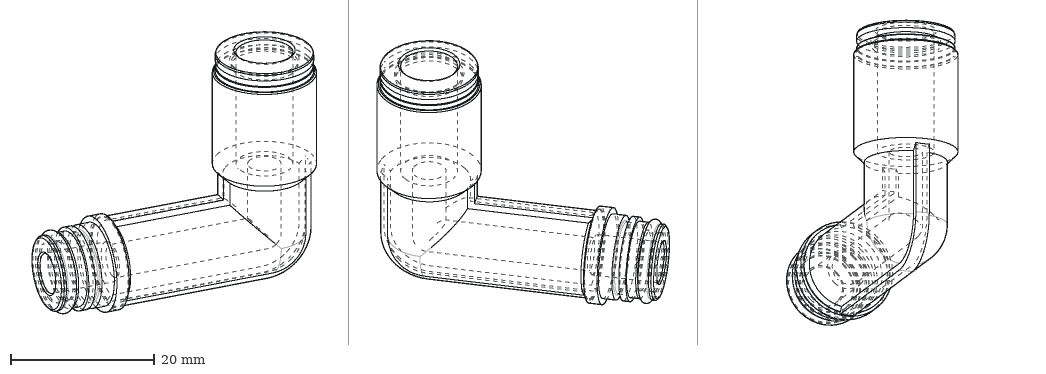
import cadquery as cq
import math


SOCKET_TOP = 28.2
STEM_TIP = 33.3

PIPE_R = 5.82
PIPE_BORE_R = 4.7 / 2

RIB_R = 6.7
RIB_WIDTH = 2.0

BODY_R = 14.6 / 2
BODY_BOTTOM = 10.6
BODY_TOP = 25.0
BODY_TOP_CHAMFER = 0.2
SHOULDER_BOTTOM = BODY_BOTTOM - (BODY_R - PIPE_R)

COLLAR_R = 13.8 / 2
COLLAR_TOP = 25.8
COLLAR_CHAMFER = 0.1

NECK_R = 9.34 / 2
NECK_FLARE = 0.2
NECK_FLARE_HEIGHT = 0.35
BUTTON_R = COLLAR_R
BUTTON_RIM_R = 13.6 / 2
BUTTON_BOTTOM = 26.7
BUTTON_SIDE_TOP = 27.55
BUTTON_RIM_Z = 27.8

SOCKET_R = 7.94 / 2
SOCKET_MOUTH_R = 8.6 / 2
SOCKET_FLOOR = BODY_BOTTOM

FLANGE_R = 13.7 / 2
FLANGE_START = 23.7
FLANGE_END = 25.6
CONE_RISE = 0.6
CONE_LENGTH = 0.5
CONE_START = 23.05

LAND_R = 11.95 / 2
LAND_END = 27.5
RELIEF_R = 10.15 / 2
RELIEF_FILLET = 0.2
RING_START = 28.5
RING_END = 29.5
TIP_R = 10.8 / 2
TIP_CHAMFER = 0.3

O_RING_WIDTH = 1.24
O_RING_R = 11.9 / 2
O_RING_CENTER = 31.75
O_RING_GROOVE_R = 8.6 / 2
O_RING_GROOVE_START = 30.8
O_RING_GROOVE_END = 32.65

STEM_BORE_R = 5.7 / 2
STEM_MOUTH_CHAMFER = 0.25
STEM_BORE_END = FLANGE_START


def turned(profile):
    """Solid of revolution about Z from (radius, height) points; the axis closes the profile."""
    points = [(0, profile[0][1])] + profile + [(0, profile[-1][1])]
    outline = cq.Workplane("XZ").polyline(points).close()
    return outline.revolve(360, (0, 0, 0), (0, 1, 0))


def along_stem(solid):
    """Turn a solid built along +Z so that it points along -Y."""
    return solid.rotate((0, 0, 0), (1, 0, 0), 90)


def make_pipes():
    riser = cq.Workplane("XY").circle(PIPE_R).extrude(BODY_BOTTOM)
    run = along_stem(cq.Workplane("XY").circle(PIPE_R).extrude(FLANGE_END))
    return riser.union(run).union(cq.Workplane("XY").sphere(PIPE_R))


def make_rib():
    """Flat L-shaped plate in the YZ plane with a rounded outer corner."""
    arc_mid = RIB_R * math.sqrt(0.5)
    outline = (
        cq.Workplane("YZ")
        .moveTo(RIB_R, BODY_BOTTOM)
        .lineTo(RIB_R, 0)
        .threePointArc((arc_mid, -arc_mid), (0, -RIB_R))
        .lineTo(-FLANGE_END, -RIB_R)
        .lineTo(-FLANGE_END, RIB_R)
        .lineTo(-RIB_R, RIB_R)
        .lineTo(-RIB_R, BODY_BOTTOM)
        .close()
    )
    return outline.extrude(RIB_WIDTH / 2, both=True)


def make_socket_body():
    """Socket body, collar and release button."""
    return turned([
        (PIPE_R, SHOULDER_BOTTOM),
        (BODY_R, BODY_BOTTOM),
        (BODY_R, BODY_TOP - BODY_TOP_CHAMFER),
        (BODY_R - BODY_TOP_CHAMFER, BODY_TOP),
        (COLLAR_R, BODY_TOP),
        (COLLAR_R, COLLAR_TOP - COLLAR_CHAMFER),
        (COLLAR_R - COLLAR_CHAMFER, COLLAR_TOP),
        (NECK_R, COLLAR_TOP),
        (NECK_R, BUTTON_BOTTOM - NECK_FLARE_HEIGHT),
        (NECK_R + NECK_FLARE, BUTTON_BOTTOM),
        (BUTTON_R, BUTTON_BOTTOM),
        (BUTTON_R, BUTTON_SIDE_TOP),
        (BUTTON_RIM_R, BUTTON_RIM_Z),
        (SOCKET_MOUTH_R, SOCKET_TOP),
    ])


def make_relief_groove():
    """Ring to cut from the stem, with rounded corners at the groove floor."""
    height = RING_START - LAND_END
    ring = cq.Workplane("XY").workplane(offset=LAND_END).circle(FLANGE_R).extrude(height)
    core = cq.Workplane("XY").workplane(offset=LAND_END).circle(RELIEF_R).extrude(height)
    floor_edges = cq.selectors.RadiusNthSelector(0)
    return ring.cut(core).edges(floor_edges).fillet(RELIEF_FILLET)


def make_o_ring():
    """O-ring seated on the groove floor: a round-nosed section turned about the stem axis."""
    half = O_RING_WIDTH / 2
    section = (
        cq.Workplane("XZ")
        .moveTo(O_RING_GROOVE_R, O_RING_CENTER - half)
        .lineTo(O_RING_R - half, O_RING_CENTER - half)
        .threePointArc((O_RING_R, O_RING_CENTER), (O_RING_R - half, O_RING_CENTER + half))
        .lineTo(O_RING_GROOVE_R, O_RING_CENTER + half)
        .close()
    )
    return section.revolve(360, (0, 0, 0), (0, 1, 0))


def make_stem():
    body = turned([
        (PIPE_R, CONE_START),
        (PIPE_R + CONE_RISE, CONE_START + CONE_LENGTH),
        (PIPE_R + CONE_RISE, FLANGE_START),
        (FLANGE_R, FLANGE_START),
        (FLANGE_R, FLANGE_END),
        (LAND_R, FLANGE_END),
        (LAND_R, RING_END),
        (TIP_R, RING_END),
        (TIP_R, O_RING_GROOVE_START),
        (O_RING_GROOVE_R, O_RING_GROOVE_START),
        (O_RING_GROOVE_R, O_RING_GROOVE_END),
        (TIP_R, O_RING_GROOVE_END),
        (TIP_R, STEM_TIP - TIP_CHAMFER),
        (TIP_R - TIP_CHAMFER, STEM_TIP),
    ])
    return along_stem(body.cut(make_relief_groove()).union(make_o_ring()))


def make_socket_bore():
    return turned([
        (PIPE_BORE_R, 0),
        (PIPE_BORE_R, SOCKET_FLOOR),
        (SOCKET_R, SOCKET_FLOOR),
        (SOCKET_R, SOCKET_TOP - (SOCKET_MOUTH_R - SOCKET_R)),
        (SOCKET_MOUTH_R, SOCKET_TOP),
    ])


def make_stem_bore():
    bore = turned([
        (PIPE_BORE_R, 0),
        (PIPE_BORE_R, STEM_BORE_END - (STEM_BORE_R - PIPE_BORE_R)),
        (STEM_BORE_R, STEM_BORE_END),
        (STEM_BORE_R, STEM_TIP - STEM_MOUTH_CHAMFER),
        (STEM_BORE_R + STEM_MOUTH_CHAMFER, STEM_TIP),
    ])
    return along_stem(bore)


solid_elbow = make_pipes().union(make_rib()).union(make_socket_body()).union(make_stem())
bore_corner = cq.Workplane("XY").sphere(PIPE_BORE_R)
passage = make_socket_bore().union(make_stem_bore()).union(bore_corner)

result = solid_elbow.cut(passage)